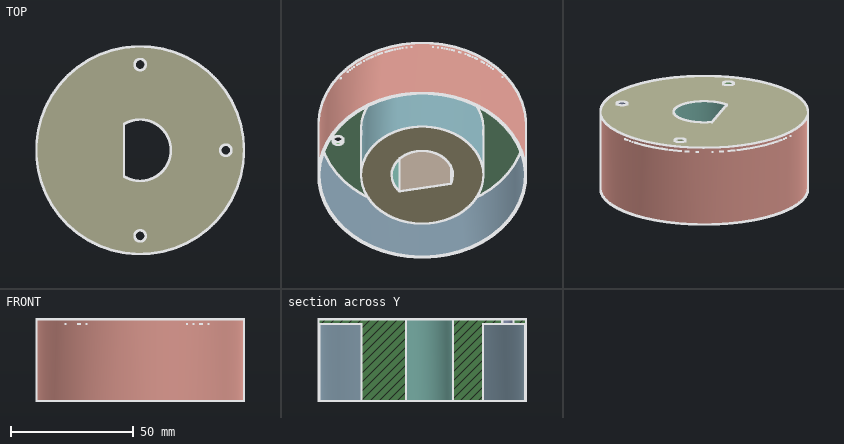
import cadquery as cq

outer_diameter = 85.0
height = 33.5
cavity_diameter = 84.0
top_thickness = 2.0

hub_diameter = 50.0
bore_diameter = 25.0
flat_offset = 6.5

screw_hole_diameter = 4.5
screw_circle_radius = 35.0
screw_hole_angles = (-90, 0, 90)


def cylinder(diameter, length):
    """Upright cylinder on the part axis, standing on the bottom plane."""
    return cq.Workplane("XY").circle(diameter / 2).extrude(length)


def make_cap():
    """Shell with a ring-shaped cavity left open at the bottom around the hub."""
    cavity_depth = height - top_thickness
    cavity = cylinder(cavity_diameter, cavity_depth).cut(cylinder(hub_diameter, cavity_depth))
    return cylinder(outer_diameter, height).cut(cavity)


def make_d_bore():
    """Full-height bore cutter with one flat on the -X side."""
    bore_radius = bore_diameter / 2
    kept_side = (
        cq.Workplane("XY")
        .box(bore_radius + flat_offset, bore_diameter, height, centered=(False, True, False))
        .translate((-flat_offset, 0, 0))
    )
    return cylinder(bore_diameter, height).intersect(kept_side)


def make_screw_holes():
    """Cutters for the screw holes, spaced on one circle."""
    holes = cq.Workplane("XY")
    for angle in screw_hole_angles:
        hole = (
            cylinder(screw_hole_diameter, height)
            .translate((screw_circle_radius, 0, 0))
            .rotate((0, 0, 0), (0, 0, 1), angle)
        )
        holes = holes.add(hole)
    return holes.combine()


result = make_cap().cut(make_d_bore()).cut(make_screw_holes())